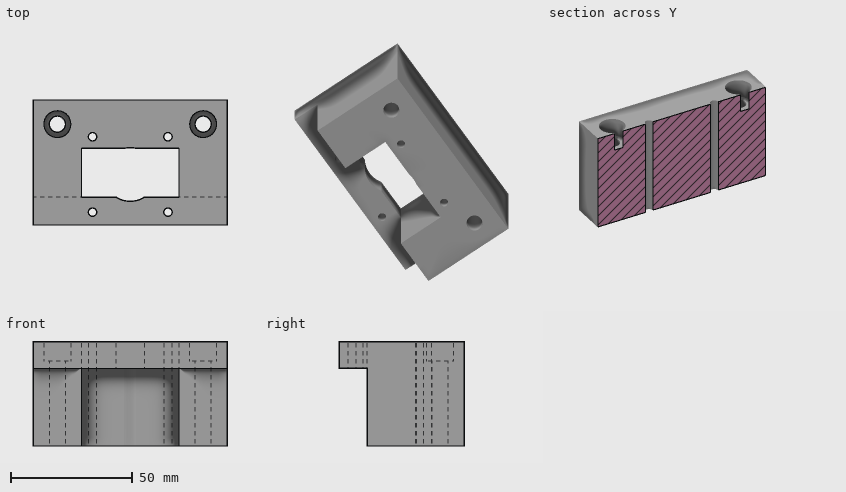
import cadquery as cq

width = 80.0
depth = 51.5
height = 43.0
plate_thickness = 11.0
body_depth = 40.0

channel_width = 40.0
channel_depth = 20.0

pilot_diameter = 22.0
pilot_from_back = 30.7
motor_hole_spacing = 31.0
motor_hole_diameter = 3.4

mount_spacing = 60.0
mount_from_back = 10.0
mount_diameter = 6.6
counterbore_diameter = 11.0
counterbore_depth = 8.0



def block(size_x, back_y, size_y, bottom_z, size_z):
    """Box centred in X that extends forward (-Y) from back_y and up from bottom_z."""
    box = cq.Workplane("XY").box(size_x, size_y, size_z, centered=(True, False, False))
    return box.translate((0, back_y - size_y, bottom_z))


def make_body():
    lower_body = block(width, 0, body_depth, 0, height)
    plate = block(width, 0, depth, height - plate_thickness, plate_thickness)
    return lower_body.union(plate)


def cut_motor_seat(body):
    channel = block(channel_width, channel_depth - body_depth, channel_depth, 0, height)
    pilot = cq.Workplane("XY").center(0, -pilot_from_back).circle(pilot_diameter / 2).extrude(height)
    screw_holes = (
        cq.Workplane("XY")
        .center(0, -pilot_from_back)
        .rect(motor_hole_spacing, motor_hole_spacing, forConstruction=True)
        .vertices()
        .circle(motor_hole_diameter / 2)
        .extrude(height)
    )
    return body.cut(channel).cut(pilot).cut(screw_holes)


def cut_mounting_holes(body):
    return (
        body.faces(">Z")
        .workplane(origin=(0, 0, height))
        .pushPoints([(side * mount_spacing / 2, -mount_from_back) for side in (-1, 1)])
        .cboreHole(mount_diameter, counterbore_diameter, counterbore_depth)
    )


result = cut_mounting_holes(cut_motor_seat(make_body()))